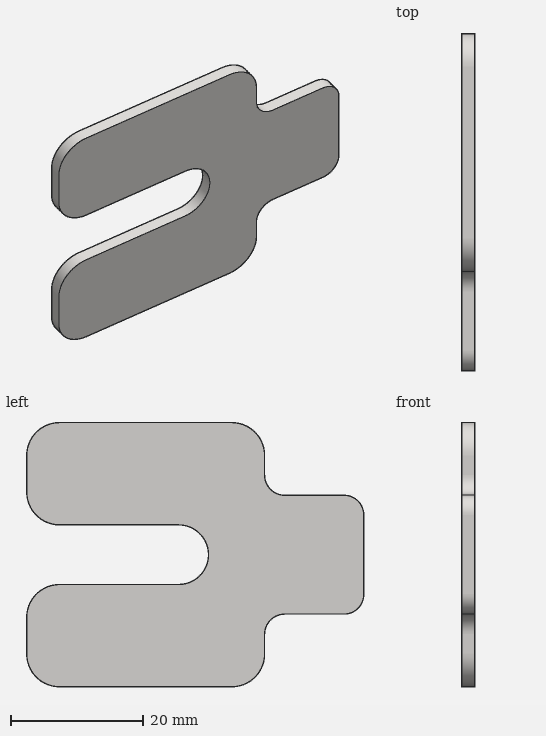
import cadquery as cq

thickness = 2.0
length = 51.0
height = 40.0

tab_length = 15.0
tab_height = 18.0
tab_radius = 3.0

slot_width = 9.0
slot_depth = 27.5
body_radius = 5.0

body_length = length - tab_length
open_end_y = length / 2
tab_end_y = -length / 2
shoulder_y = open_end_y - body_length
slot_radius = slot_width / 2
slot_center_y = open_end_y - slot_depth + slot_radius


def block(y_start, y_end, block_height):
    """Plate-thick block between two Y positions, centred on X and Z."""
    return cq.Workplane("XY").box(thickness, y_end - y_start, block_height).translate(
        (0, (y_start + y_end) / 2, 0)
    )


def round_edges(plate, points, radius):
    """Fillet the through-thickness edges at the given (y, z) points."""
    for y, z in points:
        edge = plate.edges("|X").edges(cq.selectors.NearestToPointSelector((0, y, z)))
        plate = edge.fillet(radius)
    return plate


def mirrored_points(y, z):
    """The same Y position above and below the middle of the plate."""
    return [(y, z), (y, -z)]


plate = block(shoulder_y, open_end_y, height).union(block(tab_end_y, shoulder_y, tab_height))

slot_end = cq.Workplane("YZ").center(slot_center_y, 0).circle(slot_radius).extrude(thickness / 2, both=True)
plate = plate.cut(block(slot_center_y, open_end_y, slot_width)).cut(slot_end)

body_corners = mirrored_points(open_end_y, height / 2) + mirrored_points(shoulder_y, height / 2)
slot_mouth_corners = mirrored_points(open_end_y, slot_radius)
tab_corners = mirrored_points(tab_end_y, tab_height / 2) + mirrored_points(shoulder_y, tab_height / 2)
plate = round_edges(plate, body_corners + slot_mouth_corners, body_radius)
plate = round_edges(plate, tab_corners, tab_radius)

result = plate